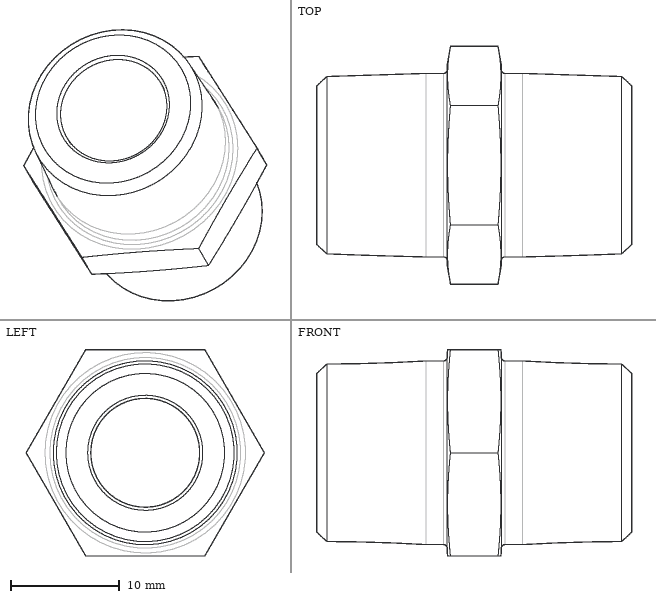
import cadquery as cq
import math

length = 29.0
bore_diameter = 10.0
bore_chamfer = 0.3

hex_across_flats = 19.0
hex_width = 5.0
hex_face_diameter = 18.45
hex_chamfer_angle = 10.0

collar_diameter = 16.93
collar_end = 4.42
collar_fillet = 0.31

taper_on_diameter = 1 / 16
end_chamfer_length = 0.93
end_face_diameter = 14.6

half_length = length / 2
half_hex = hex_width / 2
hex_across_corners = hex_across_flats / math.cos(math.radians(30))
collar_radius = collar_diameter / 2
end_face_radius = end_face_diameter / 2
taper_end = half_length - end_chamfer_length
taper_end_radius = collar_radius - (taper_end - collar_end) * taper_on_diameter / 2


def revolve_about_x(profile):
    """Turn a closed XY profile a full turn about the X axis."""
    return profile.close().revolve(360, (0, 0, 0), (1, 0, 0))


def make_hexagon():
    """Hexagonal prism whose corners are turned down by a shallow cone on both faces."""
    prism = (
        cq.Workplane("YZ")
        .polygon(6, hex_across_corners)
        .extrude(half_hex, both=True)
    )
    face_radius = hex_face_diameter / 2
    outer_radius = hex_across_corners
    setback = (outer_radius - face_radius) * math.tan(math.radians(hex_chamfer_angle))
    envelope = revolve_about_x(
        cq.Workplane("XY")
        .moveTo(-half_hex, 0)
        .lineTo(-half_hex, face_radius)
        .lineTo(-half_hex + setback, outer_radius)
        .lineTo(half_hex - setback, outer_radius)
        .lineTo(half_hex, face_radius)
        .lineTo(half_hex, 0)
    )
    return prism.intersect(envelope)


def make_nipple_end():
    """Right-hand end: fillet at the hexagon, collar, tapered stretch and end chamfer."""
    fillet_outer_radius = collar_radius + collar_fillet
    fillet_offset = collar_fillet * (1 - math.sqrt(0.5))
    return revolve_about_x(
        cq.Workplane("XY")
        .lineTo(0, fillet_outer_radius)
        .lineTo(half_hex, fillet_outer_radius)
        .threePointArc(
            (half_hex + fillet_offset, collar_radius + fillet_offset),
            (half_hex + collar_fillet, collar_radius),
        )
        .lineTo(collar_end, collar_radius)
        .lineTo(taper_end, taper_end_radius)
        .lineTo(half_length, end_face_radius)
        .lineTo(half_length, 0)
    )


def make_bore():
    """Through bore, widened by a small 45 degree chamfer at both ends."""
    bore_radius = bore_diameter / 2
    mouth_radius = bore_radius + bore_chamfer
    chamfer_start = half_length - bore_chamfer
    return revolve_about_x(
        cq.Workplane("XY")
        .moveTo(-half_length, 0)
        .lineTo(-half_length, mouth_radius)
        .lineTo(-chamfer_start, bore_radius)
        .lineTo(chamfer_start, bore_radius)
        .lineTo(half_length, mouth_radius)
        .lineTo(half_length, 0)
    )


nipple_end = make_nipple_end()
result = (
    make_hexagon()
    .union(nipple_end)
    .union(nipple_end.mirror("YZ"))
    .cut(make_bore())
)